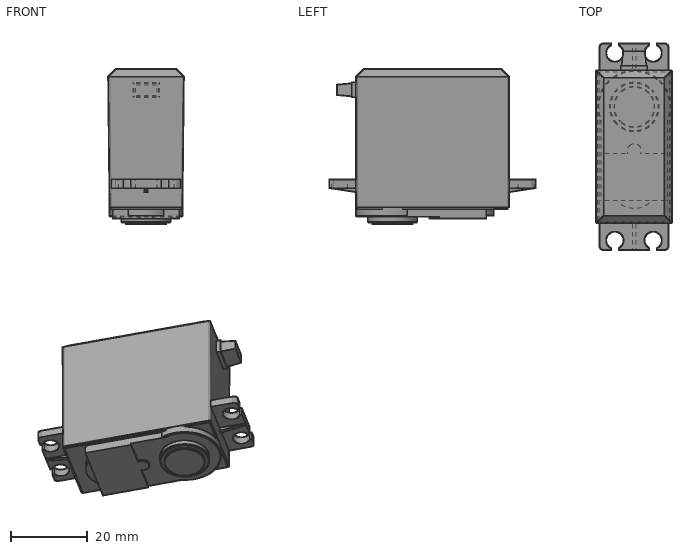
import cadquery as cq

total_height = 40.6
disc_height = 0.5
hub_bottom = disc_height
deck_bottom = 1.5
gear_dome_bottom = 2.0
idler_bottom = 2.3
lip_bottom = 4.0
case_bottom = 4.45
ear_bottom = 9.5
ear_thickness = 2.25
boot_center_z = 35.15

case_length = 40.0
case_top_width = 19.85
case_bottom_width = 19.1
top_chamfer = 2.0
corner_radius = 0.4
lip_inset = corner_radius

overall_length = 54.0
ear_width = 18.05
ear_corner_radius = 1.0
screw_hole_diameter = 4.5
screw_spacing_x = 10.0
screw_spacing_y = 48.9
slot_width = 2.0
rib_width = 0.85
rib_depth = 1.1

gear_dome_radius = case_bottom_width / 2
output_y = case_length / 2 - gear_dome_radius
deck_width = 17.5
deck_end_y = -14.05
deck_step_y = -1.75
stud_radius = 1.85
stud_y = -1.0
hub_radius = 6.5
idler_radius = 6.35
idler_y = -9.65
round_chamfer = 0.25

disc_radius = 5.35
disc_chamfer = 0.15

flange_width = 7.0
flange_height = 4.0
flange_thickness = 1.1
boot_base_width = 6.4
boot_base_height = 3.45
boot_tip_width = 5.7
boot_tip_height = 2.75
boot_length = 3.9


def cylinder(radius, y, bottom, top):
    """Upright cylinder on the centre plane X = 0."""
    return cq.Workplane("XY", origin=(0, y, bottom)).circle(radius).extrude(top - bottom)


def block(width, y_min, y_max, bottom, top):
    """Box centred on X = 0."""
    return cq.Workplane("XY").box(width, y_max - y_min, top - bottom).translate(
        (0, (y_min + y_max) / 2, (bottom + top) / 2)
    )


def case_prism(inset, bottom, top):
    """Prism with sides that lean like the case walls, set in all round by `inset`."""
    shoulder_z = total_height - top_chamfer
    lean = (case_top_width - case_bottom_width) / 2 / (shoulder_z - case_bottom)

    def half_width(z):
        return case_bottom_width / 2 + lean * (z - case_bottom) - inset

    profile = [
        (-half_width(bottom), bottom),
        (half_width(bottom), bottom),
        (half_width(top), top),
        (-half_width(top), top),
    ]
    half_length = case_length / 2 - inset
    return cq.Workplane("XZ").polyline(profile).close().extrude(half_length, both=True)


def make_case():
    """Tapered box with rounded corners, a chamfered top and a lip around the bottom."""
    walls = case_prism(0, case_bottom, total_height)
    for x_side in ("<X", ">X"):
        walls = walls.faces(x_side).edges("<Y or >Y").fillet(corner_radius)
    envelope = block(case_top_width, -case_length / 2, case_length / 2, case_bottom, total_height)
    envelope = envelope.faces(">Z").edges().chamfer(top_chamfer)
    lip = case_prism(lip_inset, lip_bottom, case_bottom)
    return walls.intersect(envelope).union(lip)


def make_ear():
    """Mounting ear on the -Y end: two open screw holes and a tapered rib below."""
    tip_y = -overall_length / 2
    root_y = -case_length / 2
    ear_top = ear_bottom + ear_thickness
    hole_y = -screw_spacing_y / 2

    ear = block(ear_width, tip_y, root_y, ear_bottom, ear_top)
    ear = ear.edges("|Z and <Y").fillet(ear_corner_radius)

    rib_profile = [(tip_y, ear_bottom), (root_y, ear_bottom), (root_y, ear_bottom - rib_depth)]
    rib = cq.Workplane("YZ").polyline(rib_profile).close().extrude(rib_width / 2, both=True)
    ear = ear.union(rib)

    for hole_x in (-screw_spacing_x / 2, screw_spacing_x / 2):
        hole = cylinder(screw_hole_diameter / 2, hole_y, ear_bottom, ear_top)
        slot = block(slot_width, tip_y, hole_y, ear_bottom, ear_top)
        ear = ear.cut(hole.union(slot).translate((hole_x, 0, 0)))
    return ear


def make_gearbox_bosses():
    """Round bosses, stepped deck and output hub below the case."""
    dome = cylinder(gear_dome_radius, output_y, gear_dome_bottom, case_bottom)
    dome = dome.faces("<Z").chamfer(round_chamfer)
    hub = cylinder(hub_radius, output_y, hub_bottom, case_bottom)
    hub = hub.faces("<Z").chamfer(round_chamfer)
    deck = block(deck_width, deck_end_y, output_y, gear_dome_bottom, case_bottom)
    deep_deck = block(deck_width, deck_end_y, deck_step_y, deck_bottom, case_bottom)
    stud = cylinder(stud_radius, stud_y, deck_bottom, case_bottom)
    idler = cylinder(idler_radius, idler_y, idler_bottom, case_bottom)
    return dome.union(hub).union(deck).union(deep_deck).union(stud).union(idler)


def make_housing():
    """Case, both ears and the gearbox end as one body."""
    ear = make_ear()
    opposite_ear = ear.mirror("XZ")
    return make_case().union(ear).union(opposite_ear).union(make_gearbox_bosses())


def make_output_disc():
    """Chamfered disc on the end face of the hub."""
    disc = cylinder(disc_radius, output_y, 0, disc_height)
    return disc.faces("<Z").chamfer(disc_chamfer)


def make_cable_boot():
    """Flange against the +Y wall with a boot that narrows towards its tip."""
    wall_y = case_length / 2
    flange_end = wall_y + flange_thickness
    flange = block(
        flange_width, wall_y, flange_end,
        boot_center_z - flange_height / 2, boot_center_z + flange_height / 2,
    )
    boot = (
        cq.Workplane("XZ", origin=(0, flange_end, boot_center_z))
        .rect(boot_base_width, boot_base_height)
        .workplane(offset=-boot_length)
        .rect(boot_tip_width, boot_tip_height)
        .loft(ruled=True)
    )
    return flange.union(boot)


housing = make_housing()
output_disc = make_output_disc()
cable_boot = make_cable_boot()

result = cq.Compound.makeCompound([housing.val(), output_disc.val(), cable_boot.val()])